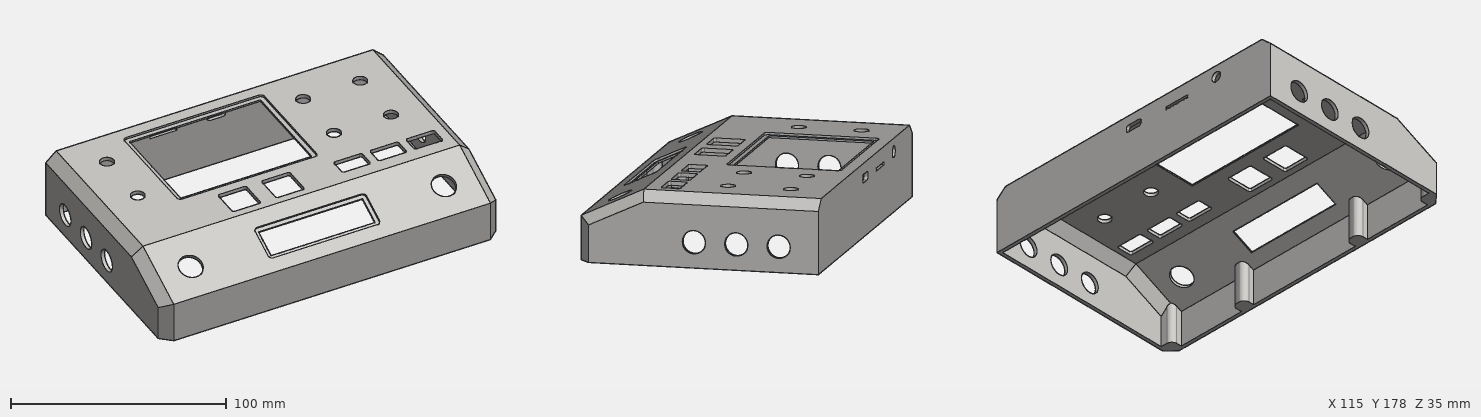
import cadquery as cq
import math

LENGTH_X = 115.0
LENGTH_Y = 178.0
HEIGHT = 35.0
FLAT_TOP_X = 84.9
SLOPE_ANGLE = 25.0
WALL = 2.0
CUT_DEPTH = 2 * WALL

BEVEL_Y = 5.5
BEVEL_INSET = 5.0

TOP_HOLE_DIAMETER = 7.0
TOP_HOLE_PITCH = 30.0
TOP_HOLE_X = 18.7
TOP_HOLE_Y = 66.8

WINDOW_X = 73.5
WINDOW_RADIUS = 1.0
SMALL_WINDOW = (9.0, 15.0)
SMALL_WINDOW_FIRST_Y = 71.0
SMALL_WINDOW_PITCH = 19.0
SMALL_WINDOW_COUNT = 3
SQUARE_WINDOW = (15.0, 15.0)
SQUARE_WINDOW_FIRST_Y = -3.5
SQUARE_WINDOW_PITCH = 23.0
SQUARE_WINDOW_COUNT = 2

LEDGE_DEPTH = 1.0
LEDGE_RADIUS = 2.0
SCREEN_CENTER = (33.6, -15.0)
SCREEN_OPENING = (50.2, 69.0)
SCREEN_LEDGE_WIDTH = 2.3
SLIDER_OPENING = (13.5, 54.8)
SLIDER_LEDGE_WIDTH = 2.0

SLOPE_HOLE_DIAMETER = 12.0
SLOPE_FEATURE_X = 100.5

SOCKET_DIAMETER = 11.0
SOCKET_FIRST_X = 19.0
SOCKET_PITCH = 20.3
SOCKET_COUNT = 3
SOCKET_Z = 12.3

USB_SIZE = (9.6, 4.0)
USB_RADIUS = 1.5
USB_CENTER = (0, 27.8)
CARD_SIZE = (14.0, 1.5)
CARD_CENTER = (28.0, 27.0)
JACK_DIAMETER = 5.5
JACK_CENTER = (53.8, 28.7)

POST_FACE_X = 106.8
POST_RADIUS = 3.2
CORNER_POST_NEAR_Y = 80.1
MIDDLE_POST_NEAR_Y = 33.1
MIDDLE_POST_LENGTH = 7.8

SLOPE = math.radians(SLOPE_ANGLE)


def side_profile(inset, left):
    """XZ outline with the top, slope and right edges moved inward by inset."""
    top = HEIGHT - inset
    right = LENGTH_X - inset
    bend_x = FLAT_TOP_X - inset * math.tan(SLOPE / 2)
    right_top = top - (right - bend_x) * math.tan(SLOPE)
    return [(left, 0), (right, 0), (right, right_top), (bend_x, top), (left, top)]


def bevelled_body(offset):
    """Enclosure block with bevelled ends, shrunk by offset on every side but the base."""
    end = LENGTH_Y / 2 - offset
    shoulder = end - BEVEL_Y
    end_inset = offset + BEVEL_INSET
    sections = []
    for y, inset in ((-end, end_inset), (-shoulder, offset), (shoulder, offset), (end, end_inset)):
        points = [cq.Vector(x, y, z) for x, z in side_profile(inset, offset)]
        sections.append(cq.Wire.makePolygon(points, close=True))
    return cq.Workplane(cq.Solid.makeLoft(sections, True))


def rounded_cutter(plane, center, size, radius, depth):
    """Rectangular block sunk depth below the plane, with rounded corners if radius is positive."""
    block = cq.Workplane(plane).center(*center).rect(*size).extrude(-depth)
    if radius > 0:
        block = block.edges(cq.selectors.ParallelDirSelector(plane.zDir)).fillet(radius)
    return block


def round_cutters(plane, centers, diameter, depth):
    """Cylinders of one diameter sunk depth below the plane."""
    return cq.Workplane(plane).pushPoints(centers).circle(diameter / 2).extrude(-depth)


def ledged_cutter(plane, center, opening, ledge_width):
    """Through opening surrounded by a shallow rounded ledge."""
    ledge = tuple(side + 2 * ledge_width for side in opening)
    through = rounded_cutter(plane, center, opening, 0, CUT_DEPTH)
    return through.union(rounded_cutter(plane, center, ledge, LEDGE_RADIUS, LEDGE_DEPTH))


outer = bevelled_body(0)
cavity = bevelled_body(WALL)
result = outer.cut(cavity)

corner_post_length = LENGTH_Y / 2 - CORNER_POST_NEAR_Y
for near_y, length_y, rounded_edges in (
    (CORNER_POST_NEAR_Y, corner_post_length, "|Z and <X and <Y"),
    (MIDDLE_POST_NEAR_Y, MIDDLE_POST_LENGTH, "|Z and <X"),
):
    post = (
        cq.Workplane("XY")
        .center(POST_FACE_X, near_y)
        .rect(LENGTH_X - POST_FACE_X, length_y, centered=False)
        .extrude(HEIGHT)
        .edges(rounded_edges)
        .fillet(POST_RADIUS)
        .intersect(outer)
    )
    result = result.union(post).union(post.mirror("XZ"))

top_plane = cq.Plane(origin=(0, 0, HEIGHT), xDir=(1, 0, 0), normal=(0, 0, 1))
top_holes = [(x, y) for x in (TOP_HOLE_X, TOP_HOLE_X + TOP_HOLE_PITCH)
             for y in (TOP_HOLE_Y, TOP_HOLE_Y - TOP_HOLE_PITCH, -TOP_HOLE_Y)]
result = result.cut(round_cutters(top_plane, top_holes, TOP_HOLE_DIAMETER, CUT_DEPTH))

for size, first_y, pitch, count in (
    (SMALL_WINDOW, SMALL_WINDOW_FIRST_Y, SMALL_WINDOW_PITCH, SMALL_WINDOW_COUNT),
    (SQUARE_WINDOW, SQUARE_WINDOW_FIRST_Y, SQUARE_WINDOW_PITCH, SQUARE_WINDOW_COUNT),
):
    for index in range(count):
        center = (WINDOW_X, first_y - index * pitch)
        result = result.cut(rounded_cutter(top_plane, center, size, WINDOW_RADIUS, CUT_DEPTH))

result = result.cut(ledged_cutter(top_plane, SCREEN_CENTER, SCREEN_OPENING, SCREEN_LEDGE_WIDTH))

slope_plane = cq.Plane(
    origin=(SLOPE_FEATURE_X, 0, HEIGHT - (SLOPE_FEATURE_X - FLAT_TOP_X) * math.tan(SLOPE)),
    xDir=(math.cos(SLOPE), 0, -math.sin(SLOPE)),
    normal=(math.sin(SLOPE), 0, math.cos(SLOPE)))
slope_holes = [(0, TOP_HOLE_Y), (0, -TOP_HOLE_Y)]
result = result.cut(round_cutters(slope_plane, slope_holes, SLOPE_HOLE_DIAMETER, CUT_DEPTH))
result = result.cut(ledged_cutter(slope_plane, (0, 0), SLIDER_OPENING, SLIDER_LEDGE_WIDTH))

sockets = [(SOCKET_FIRST_X + index * SOCKET_PITCH, SOCKET_Z) for index in range(SOCKET_COUNT)]
front_plane = cq.Plane(origin=(0, -LENGTH_Y / 2, 0), xDir=(1, 0, 0), normal=(0, -1, 0))
result = result.cut(round_cutters(front_plane, sockets, SOCKET_DIAMETER, LENGTH_Y))

left_plane = cq.Plane(origin=(0, 0, 0), xDir=(0, -1, 0), normal=(-1, 0, 0))
result = result.cut(rounded_cutter(left_plane, USB_CENTER, USB_SIZE, USB_RADIUS, CUT_DEPTH))
result = result.cut(rounded_cutter(left_plane, CARD_CENTER, CARD_SIZE, 0, CUT_DEPTH))
result = result.cut(round_cutters(left_plane, [JACK_CENTER], JACK_DIAMETER, CUT_DEPTH))